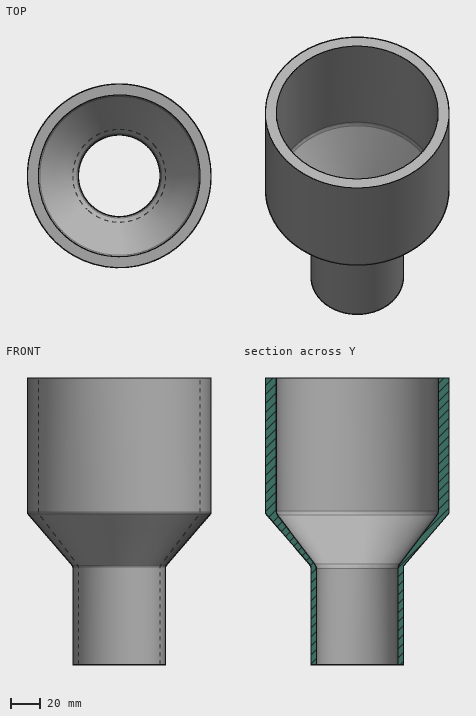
import cadquery as cq

total_height = 195.0
large_diameter = 125.0
large_radius = large_diameter / 2
large_bore_radius = 55.0
small_radius = 31.5
small_bore_radius = 27.7
small_pipe_height = 67.0
cone_height = 35.9

outer_blend_radius = 2.0
bore_blend_radius = 4.9

cone_top = small_pipe_height + cone_height


def stepped_body(lower_radius, upper_radius, blend_radius):
    """Solid of revolution: lower cylinder, cone and upper cylinder, with blended cone edges."""
    profile = (
        cq.Workplane("XZ")
        .lineTo(lower_radius, 0)
        .lineTo(lower_radius, small_pipe_height)
        .lineTo(upper_radius, cone_top)
        .lineTo(upper_radius, total_height)
        .lineTo(0, total_height)
        .close()
    )
    body = profile.revolve(360, (0, 0, 0), (0, 1, 0))
    cone_edges = cq.selectors.BoxSelector(
        (-upper_radius, -upper_radius, small_pipe_height / 2),
        (upper_radius, upper_radius, (cone_top + total_height) / 2),
    )
    return body.edges("%CIRCLE").edges(cone_edges).fillet(blend_radius)


outside = stepped_body(small_radius, large_radius, outer_blend_radius)
bore = stepped_body(small_bore_radius, large_bore_radius, bore_blend_radius)
result = outside.cut(bore)